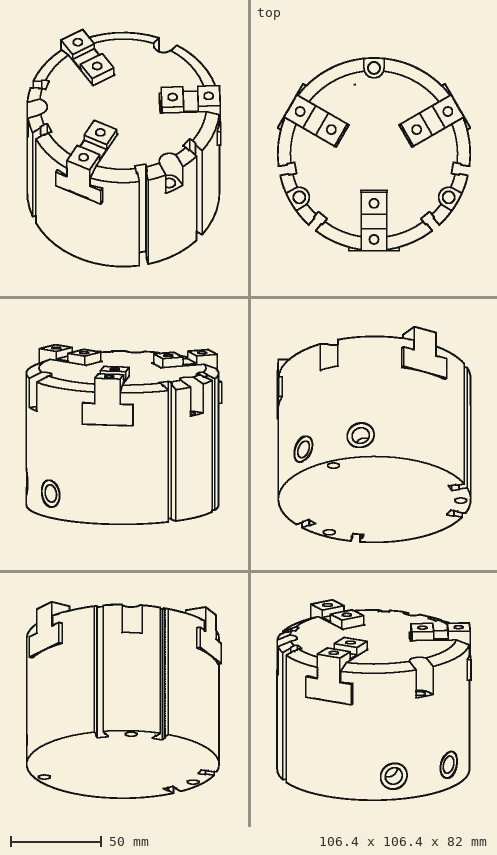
import cadquery as cq
import math

body_radius = 53.1
body_height = 77.0
rim_bevel_width = 7.0
rim_bevel_height = 3.0

jaw_angles = (0, 120, 240)
overall_height = 82.0
jaw_stem_width = 14.1
jaw_foot_width = 28.1
jaw_foot_top = 67.7
jaw_foot_bottom = 55.8
jaw_outer_radius = 53.3
jaw_inner_radius = 21.0
guide_inner_radius = 20.0
jaw_notch_inner_radius = 33.1
jaw_notch_outer_radius = 41.1
jaw_notch_depth = 4.3
jaw_hole_diameter = 5.0
jaw_hole_radii = (27.1, 47.0)
jaw_hole_depth = 10.0
drill_point_angle = 118.0

mount_angles = (90, 210, 330)
mount_circle_radius = 47.5
mount_hole_diameter = 6.5
mount_pocket_width = 11.1
mount_pocket_depth = 19.2

groove_mount_angles = (210, 330)
groove_offset_angle = 20
groove_mouth_width = 4.9
groove_width = 6.2
groove_floor_radius = 43.9
groove_lip_radius = 48.1

port_angles = (70, 110)
port_height = 13.5
port_diameter = 9.6
port_depth = 12.8
spotface_diameter = 15.0
spotface_radius = 52.3

cut_margin = 5.3


def turned(shape, angle):
    """Turn a shape about the body axis."""
    return shape.rotate((0, 0, 0), (0, 0, 1), angle)


def radial_block(inner_radius, outer_radius, width, bottom, top):
    """A block lying along +X, centred on the X axis."""
    length = outer_radius - inner_radius
    return (
        cq.Workplane("XY")
        .box(length, width, top - bottom, centered=(False, True, False))
        .translate((inner_radius, 0, bottom))
    )


def make_body():
    rim_bottom = body_height - rim_bevel_height
    return (
        cq.Workplane("XZ")
        .polyline([
            (0, 0),
            (body_radius, 0),
            (body_radius, rim_bottom),
            (body_radius - rim_bevel_width, body_height),
            (0, body_height),
        ])
        .close()
        .revolve(360, (0, 0), (0, 1))
    )


def tee_bar(inner_radius, outer_radius):
    """An upside-down T along +X, used for both the jaw and its guide."""
    stem = radial_block(inner_radius, outer_radius, jaw_stem_width, jaw_foot_bottom, overall_height)
    foot = radial_block(inner_radius, outer_radius, jaw_foot_width, jaw_foot_bottom, jaw_foot_top)
    return stem.union(foot)


def drilled_hole(radius):
    """A blind hole with a conical drill point, entering the top of the jaw."""
    hole_radius = jaw_hole_diameter / 2
    point_length = hole_radius / math.tan(math.radians(drill_point_angle / 2))
    return (
        cq.Workplane("XZ")
        .polyline([
            (0, 0),
            (hole_radius, 0),
            (hole_radius, -jaw_hole_depth),
            (0, -jaw_hole_depth - point_length),
        ])
        .close()
        .revolve(360, (0, 0), (0, 1))
        .translate((radius, 0, overall_height))
    )


def make_jaw():
    jaw = tee_bar(jaw_inner_radius, jaw_outer_radius)
    notch = radial_block(
        jaw_notch_inner_radius,
        jaw_notch_outer_radius,
        jaw_stem_width,
        overall_height - jaw_notch_depth,
        overall_height,
    )
    jaw = jaw.cut(notch)
    for radius in jaw_hole_radii:
        jaw = jaw.cut(drilled_hole(radius))
    return jaw


def mount_cutter():
    pocket_floor = body_height - mount_pocket_depth
    hole = cq.Workplane("XY").circle(mount_hole_diameter / 2).extrude(body_height)
    pocket_end = (
        cq.Workplane("XY")
        .workplane(offset=pocket_floor)
        .circle(mount_pocket_width / 2)
        .extrude(mount_pocket_depth)
    )
    pocket = radial_block(0, body_radius, mount_pocket_width, pocket_floor, body_height)
    return hole.union(pocket_end).union(pocket).translate((mount_circle_radius, 0, 0))


def groove_cutter():
    mouth = radial_block(
        groove_floor_radius, body_radius + cut_margin, groove_mouth_width, 0, body_height
    )
    channel = radial_block(groove_floor_radius, groove_lip_radius, groove_width, 0, body_height)
    return mouth.union(channel)


def port_cutter():
    flat = cq.Workplane("YZ", origin=(spotface_radius, 0, port_height))
    spotface = flat.circle(spotface_diameter / 2).extrude(cut_margin)
    hole = flat.circle(port_diameter / 2).extrude(-port_depth)
    return spotface.union(hole)


result = make_body()

for angle in mount_angles:
    result = result.cut(turned(mount_cutter(), angle))

for angle in groove_mount_angles:
    for offset in (-groove_offset_angle, groove_offset_angle):
        result = result.cut(turned(groove_cutter(), angle + offset))

for angle in port_angles:
    result = result.cut(turned(port_cutter(), angle))

guide = tee_bar(guide_inner_radius, body_radius + cut_margin)
for angle in jaw_angles:
    result = result.cut(turned(guide, angle - 90))
    result = result.union(turned(make_jaw(), angle - 90))